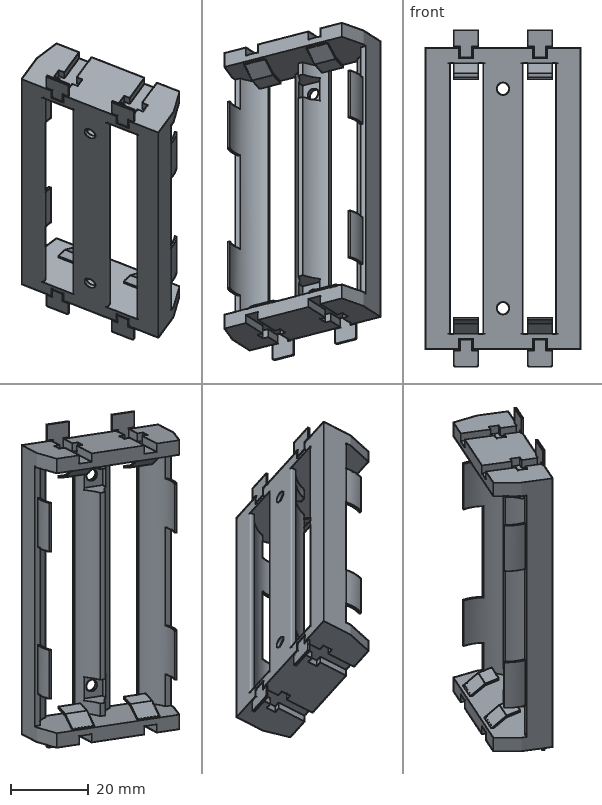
import cadquery as cq
import math


overall_length = 86.4
frame_width = 39.8
frame_length = 77.3
frame_height = 15.3
rail_height = 7.0
shoulder_height = 8.3
top_width = 35.8
inner_length = 69.5

bay_spacing = 19.0
bay_radius = 9.1
bay_axis_height = 9.3
bay_centers = (-bay_spacing / 2, bay_spacing / 2)

opening_spacing = 18.7
opening_width = 8.5
opening_edge_radius = 0.4

hole_spacing = 56.3
hole_diameter = 3.1
recess_size = 6.3
recess_floor = 1.0

clip_length = 13.05
clip_spacing = 39.3
clip_thickness = 0.6
clip_root = 6.4
clip_top = 12.5
clip_blank_inside = 6.9

groove_width = 3.6
groove_depth = 2.25
cross_width = 6.8
cross_bottom = 4.7
cross_top = 7.3

sheet = 0.5
contact_width = 6.4
tab_clearance = 0.3
tab_corner_radius = 0.5
neck_width = groove_width - 2 * tab_clearance
neck_depth = 2.4
neck_gap = 0.3

spring_root_height = 14.25
spring_bend_height = 10.2
spring_tip_height = 6.6
spring_bend_reach = 3.1
spring_tip_reach = 4.15


def block(width, y_bottom, y_top, z_bottom, z_top, x_center=0.0):
    """Box centred on x_center, between the given heights (Y) and ends (Z)."""
    size = (width, y_top - y_bottom, z_top - z_bottom)
    corner = (x_center - width / 2, y_bottom, z_bottom)
    return cq.Workplane("XY").box(*size, centered=False).translate(corner)


def along_z(length):
    """XY workplane from which an extrusion of this length is centred on z = 0."""
    return cq.Workplane("XY").workplane(offset=-length / 2)


def at_both_ends(shape):
    """The shape together with its mirror image at the other end of the holder."""
    return shape.union(shape.mirror("XY"))


def frame_blank():
    half_width = frame_width / 2
    half_top = top_width / 2
    outline = [
        (-half_width, 0),
        (half_width, 0),
        (half_width, shoulder_height),
        (half_top, frame_height),
        (-half_top, frame_height),
        (-half_width, shoulder_height),
    ]
    blank = along_z(frame_length).polyline(outline).close().extrude(frame_length)
    half_inner = inner_length / 2
    return blank.cut(block(frame_width, rail_height, frame_height, -half_inner, half_inner))


def bay(x):
    return along_z(inner_length).center(x, bay_axis_height).circle(bay_radius).extrude(inner_length)


def base_opening(x):
    half = opening_width / 2
    mouth = half + opening_edge_radius
    arc_inset = opening_edge_radius * (1 - math.sqrt(0.5))
    return (
        along_z(inner_length)
        .moveTo(x - mouth, 0)
        .lineTo(x + mouth, 0)
        .threePointArc((x + half + arc_inset, arc_inset), (x + half, opening_edge_radius))
        .lineTo(x + half, bay_axis_height)
        .lineTo(x - half, bay_axis_height)
        .lineTo(x - half, opening_edge_radius)
        .threePointArc((x - half - arc_inset, arc_inset), (x - mouth, 0))
        .close()
        .extrude(inner_length)
    )


def mounting_hole(z):
    """Screw hole with a square recess for the screw head, which also notches the ridge between the bays."""
    hole = cq.Workplane("XZ").center(0, z).circle(hole_diameter / 2).extrude(-rail_height)
    half = recess_size / 2
    return hole.union(block(recess_size, recess_floor, rail_height, z - half, z + half))


def clip_blank(side, z):
    """Finger on an outer rail, round outside; the bay cut gives it its round inner face."""
    outer = bay_radius + clip_thickness
    tip = clip_top - bay_axis_height
    root = clip_root - bay_axis_height
    tip_x = side * math.sqrt(outer**2 - tip**2)
    root_x = side * math.sqrt(outer**2 - root**2)
    inside_x = side * clip_blank_inside
    return (
        cq.Workplane("XY", origin=(side * bay_spacing / 2, bay_axis_height, z - clip_length / 2))
        .moveTo(inside_x, root)
        .lineTo(root_x, root)
        .threePointArc((side * outer, 0), (tip_x, tip))
        .lineTo(inside_x, tip)
        .close()
        .extrude(clip_length)
    )


def contact_groove(x):
    """Cross-shaped groove and the clearance around the tab neck, at the upper end."""
    face = frame_length / 2
    floor = face - groove_depth
    groove = block(groove_width, 0, frame_height, floor, face, x)
    cross = block(cross_width, cross_bottom, cross_top, floor, face, x)
    neck_pocket = block(groove_width, 0, sheet, face - neck_depth - neck_gap, face, x)
    return groove.union(cross).union(neck_pocket)


def tab(x):
    """Flat T-shaped solder tab at the upper end."""
    face = frame_length / 2
    shoulder = face + tab_clearance
    neck = block(neck_width, 0, sheet, face - neck_depth, shoulder, x)
    return neck.union(block(contact_width, 0, sheet, shoulder, overall_length / 2, x))


def rounded_lower_tab(x):
    lower = tab(x).mirror("XY")
    return lower.faces("<Z").edges("|Y").fillet(tab_corner_radius)


def spring(x):
    """Bent leaf spring rooted in the upper end wall."""
    wall = inner_length / 2
    bend_z = wall - spring_bend_reach
    tip_z = wall - spring_tip_reach
    outline = [
        (spring_root_height, wall),
        (spring_bend_height, bend_z),
        (spring_tip_height, tip_z),
        (spring_tip_height, tip_z + sheet),
        (spring_bend_height, bend_z + sheet),
        (spring_root_height - sheet, wall),
    ]
    leaf = cq.Workplane("YZ", origin=(x, 0, 0)).polyline(outline).close()
    return leaf.extrude(contact_width / 2, both=True)


result = frame_blank()

for center in bay_centers:
    side = math.copysign(1, center)
    for clip_z in (-clip_spacing / 2, clip_spacing / 2):
        result = result.union(clip_blank(side, clip_z))
    result = result.cut(bay(center))
    result = result.cut(base_opening(side * opening_spacing / 2))
    result = result.cut(at_both_ends(contact_groove(center)))
    result = result.union(tab(center)).union(rounded_lower_tab(center))
    result = result.union(at_both_ends(spring(center)))

for hole_z in (-hole_spacing / 2, hole_spacing / 2):
    result = result.cut(mounting_hole(hole_z))